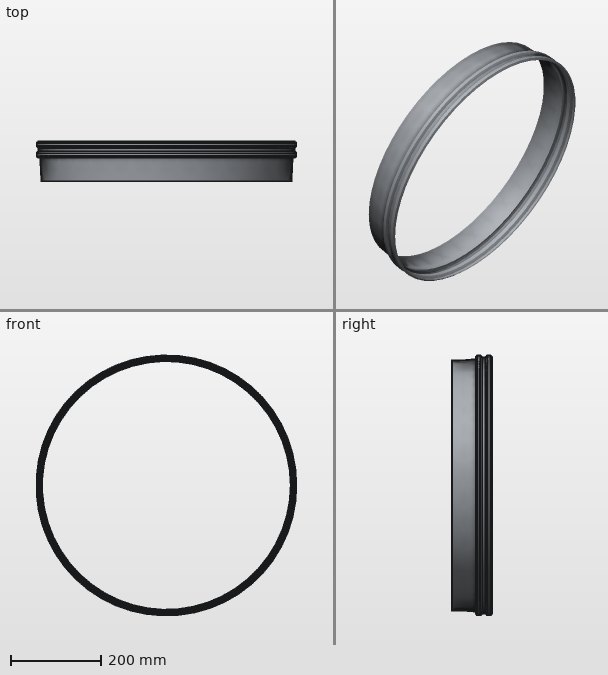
import cadquery as cq
import math

outer_diameter = 576.5
ring_width = 89.0
wall = 2.0

groove_diameter = 568.0
bead_flat = 7.0
outer_flank = 3.5
groove_flank = 4.5
groove_flat = 6.5

skirt_root_diameter = 560.0
skirt_end_diameter = 554.5

crest_radius = outer_diameter / 2
groove_radius = groove_diameter / 2
skirt_root_radius = skirt_root_diameter / 2
skirt_end_radius = skirt_end_diameter / 2
bead_height = crest_radius - groove_radius
outer_angle = math.atan2(bead_height, outer_flank)
groove_angle = math.atan2(bead_height, groove_flank)

rear_crest_start = outer_flank
rear_crest_end = rear_crest_start + bead_flat
groove_start = rear_crest_end + groove_flank
groove_end = groove_start + groove_flat
front_crest_start = groove_end + groove_flank
front_crest_end = front_crest_start + bead_flat
shoulder = front_crest_end + outer_flank


def sheet_surface(depth):
    """Points (radius, distance from the rear rim) on the surface `depth` below the outside.

    Corners shift along the axis so that the flanks keep the full sheet thickness.
    """
    crest = crest_radius - depth
    groove = groove_radius - depth
    outer_shift = depth * math.tan(outer_angle / 2)
    groove_shift = depth * math.tan(groove_angle / 2)

    inner_crest_end = front_crest_end - outer_shift
    shoulder_face = shoulder - depth
    flank_foot = crest - (shoulder_face - inner_crest_end) * math.tan(outer_angle)

    return [
        (groove_radius - depth * math.cos(outer_angle), depth * math.sin(outer_angle)),
        (crest, rear_crest_start + outer_shift),
        (crest, rear_crest_end - groove_shift),
        (groove, groove_start - groove_shift),
        (groove, groove_end + groove_shift),
        (crest, front_crest_start + groove_shift),
        (crest, inner_crest_end),
        (flank_foot, shoulder_face),
        (skirt_root_radius - depth, shoulder_face),
        (skirt_end_radius - depth, ring_width),
    ]


section = [
    (radius, ring_width - distance)
    for radius, distance in sheet_surface(0) + sheet_surface(wall)[::-1]
]

result = cq.Workplane("XY").polyline(section).close().revolve(360, (0, 0, 0), (0, 1, 0))